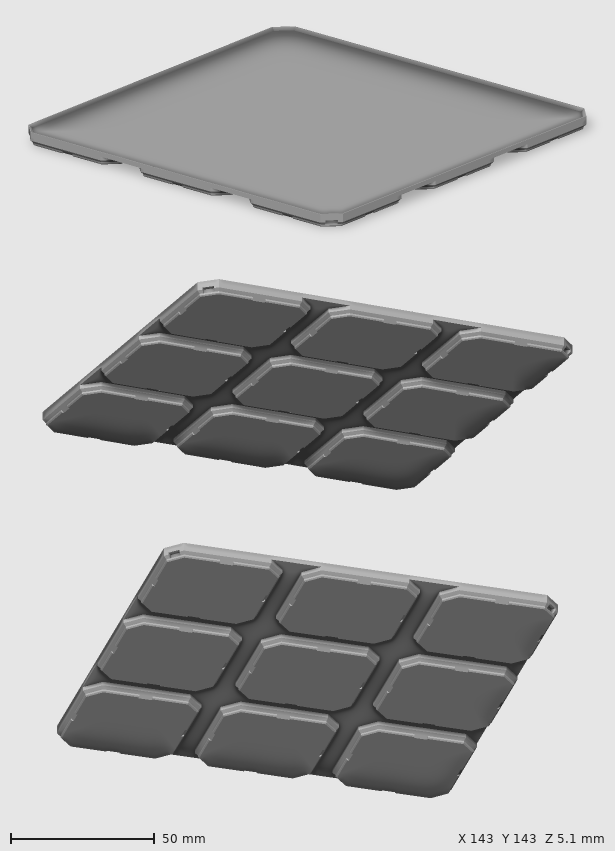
import cadquery as cq
import math

feet_per_side = 3
pitch = 50.0
foot_size = 43.0
corner_cut = 5.6
plate_size = (feet_per_side - 1) * pitch + foot_size

height = 5.1
plate_underside = 3.4
toe_chamfer = 0.4
flare_bottom = 1.0
flare_top = 2.0
flare = flare_top - flare_bottom

rim_width = 0.3
tray_depth = 1.0

pocket_width = 4.4
pocket_depth = 1.8
pocket_floor = flare_bottom
pocket_roof = 2.75

dent_width = 4.8


def inset_outline(size, inset, z):
    """Corner-cut square outline at height z, moved inward by inset on all eight sides."""
    half = size / 2 - inset
    flat = half - corner_cut + inset * (2 - math.sqrt(2))
    points = [
        (flat, -half),
        (half, -flat),
        (half, flat),
        (flat, half),
        (-flat, half),
        (-half, flat),
        (-half, -flat),
        (-flat, -half),
    ]
    return cq.Workplane("XY").workplane(offset=z).polyline(points).close()


def tapered_block(size, low_z, low_inset, high_z, high_inset):
    """Solid between two levels of one outline, each with its own inset."""
    low = inset_outline(size, low_inset, low_z).wires().val()
    high = inset_outline(size, high_inset, high_z).wires().val()
    return cq.Workplane(cq.Solid.makeLoft([low, high], True))


def side_dent():
    """Wedge removed from the -Y side of a foot."""
    side = -foot_size / 2
    profile = [(side, 0), (side + flare_top, 0), (side, flare_top)]
    return cq.Workplane("YZ").polyline(profile).close().extrude(dent_width / 2, both=True)


def make_foot():
    toe = tapered_block(foot_size, 0, flare + toe_chamfer, toe_chamfer, flare)
    neck = tapered_block(foot_size, toe_chamfer, flare, flare_bottom, flare)
    flared = tapered_block(foot_size, flare_bottom, flare, flare_top, 0)
    collar = tapered_block(foot_size, flare_top, 0, plate_underside, 0)
    foot = toe.union(neck).union(flared).union(collar)
    for quarter in range(4):
        foot = foot.cut(side_dent().rotate((0, 0, 0), (0, 0, 1), 90 * quarter))
    return foot


def make_plate():
    plate = inset_outline(plate_size, 0, plate_underside).extrude(height - plate_underside)
    tray = tapered_block(plate_size, height - tray_depth, rim_width + tray_depth, height, rim_width)
    return plate.cut(tray)


def corner_pocket():
    """Block removed from the cut-off corner that faces +X before it is turned into place."""
    corner_face = (plate_size - corner_cut) / math.sqrt(2)
    block = cq.Workplane("XY").box(2 * pocket_depth, pocket_width, pocket_roof - pocket_floor)
    return block.translate((corner_face, 0, (pocket_roof + pocket_floor) / 2))


def make_part():
    part = make_plate()
    foot = make_foot()
    first = -(feet_per_side - 1) / 2 * pitch
    for column in range(feet_per_side):
        for row in range(feet_per_side):
            part = part.union(foot.translate((first + column * pitch, first + row * pitch, 0)))
    for quarter in range(4):
        part = part.cut(corner_pocket().rotate((0, 0, 0), (0, 0, 1), 45 + 90 * quarter))
    return part


result = make_part()